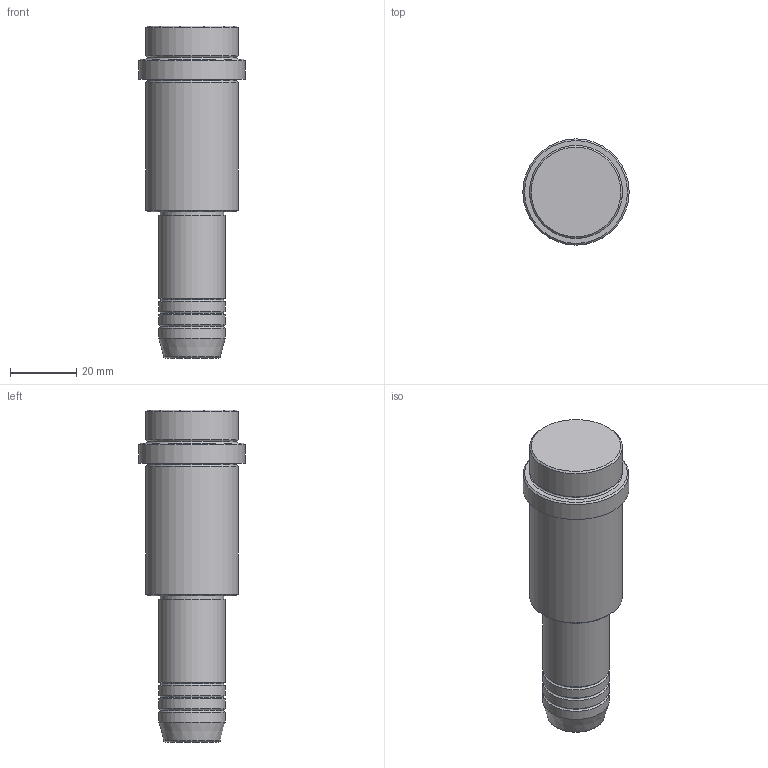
import cadquery as cq
import math


flange_radius = 16.0
body_radius = 14.0
shaft_radius = 10.0

tip_length = 6.0
shaft_length = 43.0
relief_width = 1.0
body_length = 40.0
flange_thickness = 6.0
head_length = 10.0

edge_size = 0.5
relief_depth = 0.5
tip_angle = 15.0
groove_radius = 0.5
shaft_groove_count = 3
shaft_groove_pitch = 4.0
lowest_groove_center = 9.5

body_bottom = shaft_length + relief_width
flange_bottom = body_bottom + body_length
flange_top = flange_bottom + flange_thickness
head_top = flange_top + head_length


def turn(section):
    """Revolve a section drawn in the XZ plane once around the Z axis."""
    return section.revolve(360, (0, 0, 0), (0, 1, 0))


def make_pin():
    """Pin with its tip, relief, flange and edge chamfers, but without the grooves."""
    tip_radius = shaft_radius - tip_length * math.tan(math.radians(tip_angle))
    relief_radius = shaft_radius - relief_depth
    outline = [
        (0, 0),
        (tip_radius, 0),
        (shaft_radius, tip_length),
        (shaft_radius, shaft_length),
        (relief_radius, shaft_length),
        (relief_radius, body_bottom),
        (body_radius - edge_size, body_bottom),
        (body_radius, body_bottom + edge_size),
        (body_radius, flange_bottom),
        (flange_radius, flange_bottom),
        (flange_radius, flange_top - edge_size),
        (flange_radius - edge_size, flange_top),
        (body_radius, flange_top),
        (body_radius, head_top - edge_size),
        (body_radius - edge_size, head_top),
        (0, head_top),
    ]
    section_points = [(-radius, height) for radius, height in outline]
    pin = turn(cq.Workplane("XZ").polyline(section_points).close())
    return pin.faces("<Z").edges().fillet(edge_size)


def make_groove(cylinder_radius, center):
    """Ring that cuts a groove of half-round section into a cylinder of the given radius."""
    return turn(cq.Workplane("XZ").moveTo(-cylinder_radius, center).circle(groove_radius))


result = make_pin()

for groove_center in (flange_bottom - groove_radius, flange_top + groove_radius):
    result = result.cut(make_groove(body_radius, groove_center))

for index in range(shaft_groove_count):
    groove_center = lowest_groove_center + index * shaft_groove_pitch
    result = result.cut(make_groove(shaft_radius, groove_center))